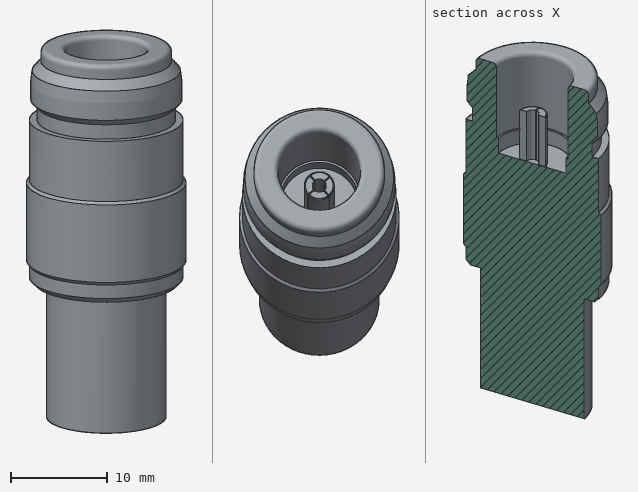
import cadquery as cq

total_height = 39.8
sleeve_bottom = 14.5
sleeve_corner = 15.05
collar_chamfer_bottom = 16.5
collar_bottom = 16.88
collar_top = 25.25
collar_chamfer_top = 25.5
body_top = 32.0
groove_top = 33.55
ring_bottom = 34.23
ring_top = 36.05
shoulder_top = 37.35
nose_bottom = 38.33

tail_radius = 6.2
body_radius = 7.95
sleeve_bottom_radius = body_radius - (sleeve_corner - sleeve_bottom)
collar_diameter = 16.5
collar_radius = collar_diameter / 2
groove_radius = 7.15
ring_radius = 7.85
shoulder_radius = 7.7
nose_radius = 6.75
rim_fillet = 0.5

mouth_radius = 4.25
mouth_depth = 8.95
socket_radius = 4.0
socket_depth = 10.75

contact_radius = 1.55
contact_bore_radius = 0.7
contact_top_depth = 4.78
contact_chamfer = 0.1
slot_width = 0.1
slot_count = 4


def round_bar(radius, bottom, top):
    """Cylinder on the Z axis between two heights."""
    return cq.Workplane("XY").workplane(offset=bottom).circle(radius).extrude(top - bottom)


def make_shell():
    """Turned outer body, solid inside, with a rounded nose."""
    profile = [
        (0, 0),
        (tail_radius, 0),
        (tail_radius, sleeve_bottom),
        (sleeve_bottom_radius, sleeve_bottom),
        (body_radius, sleeve_corner),
        (body_radius, collar_chamfer_bottom),
        (collar_radius, collar_bottom),
        (collar_radius, collar_top),
        (body_radius, collar_chamfer_top),
        (body_radius, body_top),
        (groove_radius, body_top),
        (groove_radius, groove_top),
        (ring_radius, ring_bottom),
        (ring_radius, ring_top),
        (shoulder_radius, shoulder_top),
        (nose_radius, nose_bottom),
        (nose_radius, total_height),
        (0, total_height),
    ]
    return cq.Workplane("XZ").polyline(profile).close().revolve(360, (0, 0), (0, 1))


def cut_socket(shell):
    """Stepped socket open at the top, with both rim edges rounded."""
    mouth = round_bar(mouth_radius, total_height - mouth_depth, total_height)
    socket = round_bar(socket_radius, total_height - socket_depth, total_height)
    return shell.cut(mouth).cut(socket).faces(">Z").edges().fillet(rim_fillet)


def make_contact():
    """Hollow centre contact, split by radial slots from its tip down to the socket floor."""
    floor = total_height - socket_depth
    tip = total_height - contact_top_depth
    contact = round_bar(contact_radius, floor, tip).faces(">Z").edges().chamfer(contact_chamfer)
    contact = contact.cut(round_bar(contact_bore_radius, floor, tip))
    for index in range(slot_count):
        slot = (
            cq.Workplane("XY")
            .workplane(offset=floor)
            .center(contact_radius / 2, 0)
            .rect(contact_radius, slot_width)
            .extrude(tip - floor)
            .rotate((0, 0, 0), (0, 0, 1), index * 360 / slot_count)
        )
        contact = contact.cut(slot)
    return contact


result = cut_socket(make_shell()).union(make_contact())